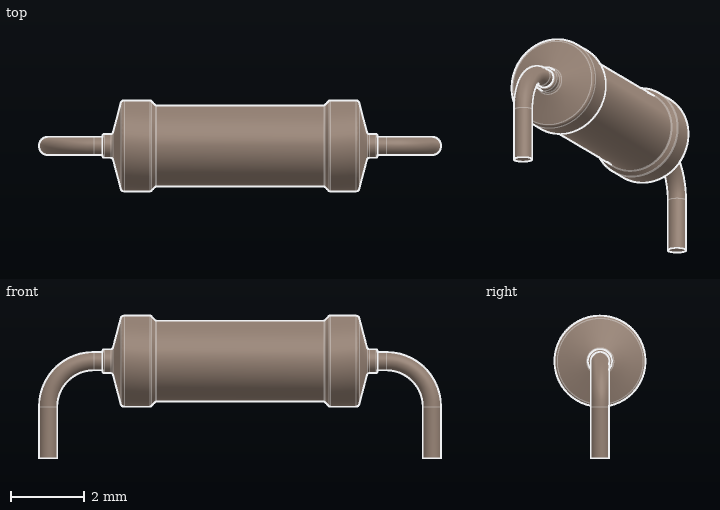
import cadquery as cq

OVERALL_LENGTH = 10.99
OVERALL_HEIGHT = 3.9

BARREL_RADIUS = 1.11
BULGE_RADIUS = 1.247
BULGE_INNER_X = 2.31
SHOULDER_LENGTH = 0.13
SHOULDER_OUTER_X = BULGE_INNER_X + SHOULDER_LENGTH
SHOULDER_FILLET = 0.04
BULGE_OUTER_X = 3.24
RIM_FILLET = 0.1
COLLAR_RADIUS = 0.33
COLLAR_INNER_X = 3.48
COLLAR_OUTER_X = 3.76
COLLAR_FILLET = 0.05

LEAD_RADIUS = 0.25
BEND_RADIUS = 1.24
LEAD_FOOT_Z = BULGE_RADIUS - OVERALL_HEIGHT
LEAD_DROP_X = OVERALL_LENGTH / 2 - LEAD_RADIUS
BEND_START_X = LEAD_DROP_X - BEND_RADIUS
LEAD_INNER_X = COLLAR_INNER_X


def make_body():
    """Barrel with a bulge, end cone and collar at each end, bored for the leads."""
    right_end = [
        (BULGE_INNER_X, BARREL_RADIUS),
        (SHOULDER_OUTER_X, BULGE_RADIUS),
        (BULGE_OUTER_X, BULGE_RADIUS),
        (COLLAR_INNER_X, COLLAR_RADIUS),
        (COLLAR_OUTER_X, COLLAR_RADIUS),
        (COLLAR_OUTER_X, 0),
    ]
    left_end = [(-x, radius) for x, radius in reversed(right_end)]
    body = (
        cq.Workplane("XZ")
        .polyline(left_end + right_end)
        .close()
        .revolve(360, (0, 0, 0), (1, 0, 0))
    )
    for side in (-1, 1):
        body = fillet_circle(body, side * BULGE_INNER_X, BARREL_RADIUS, SHOULDER_FILLET)
        body = fillet_circle(body, side * SHOULDER_OUTER_X, BULGE_RADIUS, SHOULDER_FILLET)
        body = fillet_circle(body, side * BULGE_OUTER_X, BULGE_RADIUS, RIM_FILLET)
        body = fillet_circle(body, side * COLLAR_OUTER_X, COLLAR_RADIUS, COLLAR_FILLET)
        body = fillet_circle(body, side * COLLAR_INNER_X, COLLAR_RADIUS, COLLAR_FILLET)
        lead_hole = (
            cq.Workplane("YZ", origin=(side * LEAD_INNER_X, 0, 0))
            .circle(LEAD_RADIUS)
            .extrude(side * (COLLAR_OUTER_X - LEAD_INNER_X))
        )
        body = body.cut(lead_hole)
    return body


def fillet_circle(body, x, edge_radius, fillet_radius):
    """Round the circular edge of the given radius that lies at x."""
    tolerance = 0.001
    edge_zone = cq.selectors.BoxSelector(
        (x - tolerance, -edge_radius - tolerance, -edge_radius - tolerance),
        (x + tolerance, edge_radius + tolerance, edge_radius + tolerance),
        boundingbox=True,
    )
    return body.edges(edge_zone).fillet(fillet_radius)


def make_lead(side):
    """Wire leaving the body along X and bent down to its foot; side is -1 or +1."""
    centreline = (
        cq.Workplane("XZ")
        .moveTo(side * LEAD_INNER_X, 0)
        .lineTo(side * BEND_START_X, 0)
        .tangentArcPoint((side * LEAD_DROP_X, -BEND_RADIUS), relative=False)
        .lineTo(side * LEAD_DROP_X, LEAD_FOOT_Z)
    )
    return (
        cq.Workplane("YZ", origin=(side * LEAD_INNER_X, 0, 0))
        .circle(LEAD_RADIUS)
        .sweep(centreline)
    )


body = make_body()
leads = [make_lead(side) for side in (-1, 1)]

result = cq.Compound.makeCompound([body.val(), *[lead.val() for lead in leads]])